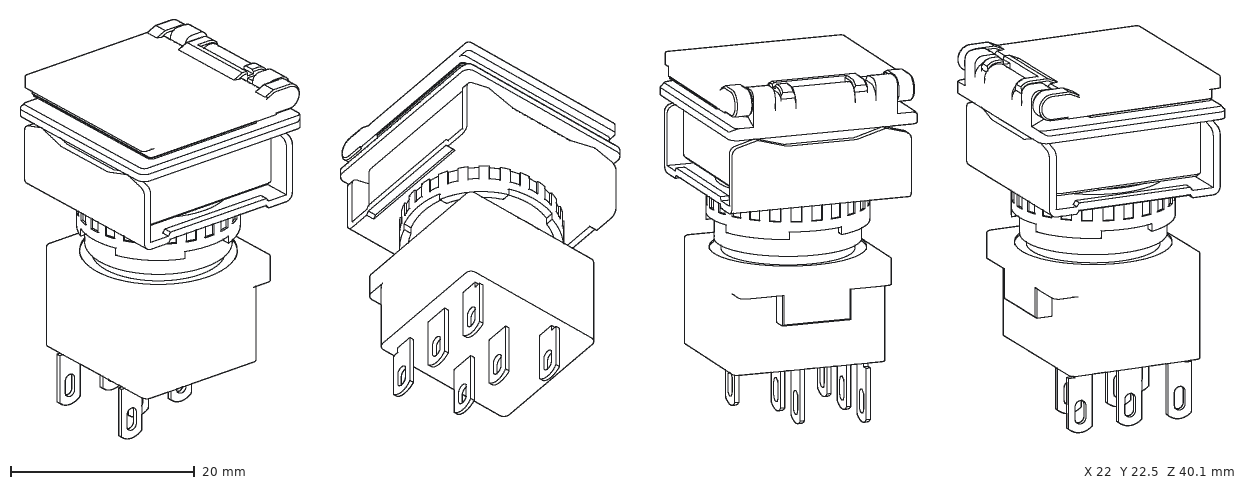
import cadquery as cq
import math


bezel_width = 22.0
bezel_front = 11.0
bezel_rear = 11.5
bezel_corner = 1.0
bezel_flat_corner = 0.4
bezel_side_height = 0.85
bezel_edge_rise = 0.5
bezel_edge_run = 0.45
bezel_height = 2.1
bezel_slope_run = 1.75

hinge_height = 5.33
knuckle_inner = 5.88
knuckle_outer = 8.4
knuckle_front = 8.4
knuckle_radius = 1.0
hinge_bar_height = 4.6
hinge_bar_crest = 9.93
tall_bar_height = 5.0
tall_bar_radius = 1.43

body_width = 18.06
body_corner = 1.03
body_bottom = -6.85
body_edge = 0.3
collar_radius = 8.2
collar_bottom = -7.25
stem_radius = 7.93
barrel_radius = 8.05
barrel_bottom = -14.65
neck_radius = 7.3

block_width = 17.8
block_top = -15.6
block_bottom = -27.7
block_corner = 0.75
block_edge = 0.25
block_step_depth = 2.0
block_step_bottom = -18.63
block_recess_radius = 8.6
block_recess_depth = 0.2
nub_width = 8.0
nub_bottom = -22.1
nub_edge = 0.15

overall_height = 40.1
terminal_tip = hinge_height - overall_height
terminal_width = 2.85
terminal_thickness = 0.52
terminal_tip_rise = 0.6
terminal_tip_thickness = 0.4
terminal_shoulder_depth = 0.75
terminal_shoulder_height = 0.7
eyelet_width = 1.3
eyelet_length = 2.67
eyelet_height = 2.35
terminal_pitch = 6.0
switch_row_x = -6.93
lamp_row_x = 0.0
single_x = 3.82
middle_terminal_y = -1.0
rear_terminal_y = middle_terminal_y + terminal_pitch
front_terminal_y = middle_terminal_y - terminal_pitch
lamp_terminal_y = terminal_pitch / 2

bracket_width = 20.95
bracket_depth = 20.65
bracket_thickness = 0.85
bracket_bottom = -8.67
bracket_bend_radius = 0.9
tab_peak_x = 7.48
tab_peak_z = -0.5
tab_valley_x = 4.07
tab_valley_z = -1.46
tab_shoulder_z = -1.32
tab_corner_radius = 0.9
rib_length = 14.0
rib_width = 1.0
rib_lift = 0.4
rib_end_run = 0.3

nut_radius = 8.95
nut_bottom = -12.53
nut_slot_count = 24
nut_slot_width = 1.2
nut_slot_depth = 0.25
nut_slot_bottom = -10.55
nut_notch_width = 6.1
nut_notch_depth = 0.86

lid_width = 20.95
lid_front = -10.5
lid_top = 4.8
lid_bottom = 2.33
lip_bottom = 3.4
lip_overhang = 1.0
lid_corner = 0.5
lid_edge = 0.2
lid_rear_edge = 8.1
lid_rear_chamfer = 0.5
lid_seat_rear = 5.35
lid_seat_inset = 0.1
ear_radius = (hinge_height - lid_bottom) / 2
ear_center_y = 9.95
ear_center_z = lid_bottom + ear_radius
ramp_top_y = 7.83
ramp_bottom_y = 6.65
pad_half_width = 5.04
arm_inner = 3.45
arm_front = 8.42
arm_rear = 11.08
arm_notch_rear = 9.2
arm_notch_floor = 4.85


def box(x0, x1, y0, y1, z0, z1):
    """Box between the given limits."""
    return cq.Workplane("XY").box(x1 - x0, y1 - y0, z1 - z0, centered=False).translate((x0, y0, z0))


def disc(radius, z0, z1):
    """Cylinder about the Z axis between two heights."""
    return cq.Workplane("XY").workplane(offset=z0).circle(radius).extrude(z1 - z0)


def side_profile(x0, start):
    """Sketch plane square to X at x0, drawn in (Y, Z), with its first point."""
    return cq.Workplane("YZ").workplane(offset=x0).moveTo(*start)


def bezel_outline(rear, inset, corner):
    """Rounded rectangle of the bezel, reaching back to y = rear before it is drawn in by the inset."""
    outline = cq.Sketch().rect(bezel_width - 2 * inset, bezel_front + rear - 2 * inset)
    return outline.vertices().fillet(corner)


def bezel_stage(z0, inset0, corner0, z1, inset1, corner1):
    """Straight-sided stage of the bezel between two insets, running past its rear face."""
    rear = bezel_rear + bezel_edge_run
    stage = cq.Workplane("XY", origin=(0, (rear - bezel_front) / 2, z0))
    return stage.placeSketch(
        bezel_outline(rear, inset0, corner0),
        bezel_outline(rear, inset1, corner1).moved(cq.Location(cq.Vector(0, 0, z1 - z0))),
    ).loft()


def make_bezel():
    """Flange with an upright side, a steep edge except at the rear, and a shallow slope to its flat top."""
    edge_top = bezel_side_height + bezel_edge_rise
    edge_corner = bezel_corner - bezel_edge_run
    flat_inset = bezel_edge_run + bezel_slope_run
    side = bezel_stage(0, 0, bezel_corner, bezel_side_height, 0, bezel_corner)
    edge = bezel_stage(bezel_side_height, 0, bezel_corner, edge_top, bezel_edge_run, edge_corner)
    slope = bezel_stage(edge_top, bezel_edge_run, edge_corner, bezel_height, flat_inset, bezel_flat_corner)
    prism = (
        cq.Workplane("XY", origin=(0, (bezel_rear - bezel_front) / 2, 0))
        .placeSketch(bezel_outline(bezel_rear, 0, bezel_corner))
        .extrude(bezel_height)
    )
    return side.union(edge).union(slope).intersect(prism)


def make_knuckle(x0):
    """Hinge knuckle standing on the rear of the bezel, rounded at both top corners."""
    width = knuckle_outer - knuckle_inner
    knuckle = box(x0, x0 + width, knuckle_front, bezel_rear, 0, hinge_height)
    return knuckle.edges("|X and >Z").fillet(knuckle_radius)


def make_hinge_bar():
    """Low bar between the knuckles, pocketed for the lid arms, with a taller rounded bar between them."""
    base = bezel_side_height
    rear_radius = bezel_rear - hinge_bar_crest
    low = box(-knuckle_inner, knuckle_inner, knuckle_front, bezel_rear, base, hinge_bar_height)
    low = low.edges("|X and >Z and >Y").fillet(rear_radius)
    pocket = box(-pad_half_width, pad_half_width, knuckle_front, arm_rear, bezel_height, hinge_bar_height)
    front_axis_z = tall_bar_height - tall_bar_radius
    rear_axis_z = tall_bar_height - rear_radius
    slant = math.sqrt(0.5)
    front_middle = (hinge_bar_crest - tall_bar_radius * slant, front_axis_z + tall_bar_radius * slant)
    rear_middle = (hinge_bar_crest + rear_radius * slant, rear_axis_z + rear_radius * slant)
    tall = (
        side_profile(-arm_inner, (bezel_rear, base))
        .lineTo(bezel_rear, rear_axis_z)
        .threePointArc(rear_middle, (hinge_bar_crest, tall_bar_height))
        .threePointArc(front_middle, (hinge_bar_crest - tall_bar_radius, front_axis_z))
        .lineTo(hinge_bar_crest - tall_bar_radius, base)
        .close()
        .extrude(2 * arm_inner)
    )
    return low.cut(pocket).union(tall)


def make_body():
    """Square body behind the panel with the round stem, barrel and neck below it."""
    body = box(-body_width / 2, body_width / 2, -body_width / 2, body_width / 2, body_bottom, 0)
    body = body.edges("|Z").fillet(body_corner).faces("<Z").edges().chamfer(body_edge)
    turned = (
        cq.Workplane("XZ")
        .lineTo(collar_radius, 0)
        .lineTo(collar_radius, body_bottom)
        .lineTo(stem_radius, collar_bottom)
        .lineTo(stem_radius, bracket_bottom)
        .lineTo(barrel_radius, bracket_bottom)
        .lineTo(barrel_radius, barrel_bottom)
        .lineTo(neck_radius, barrel_bottom)
        .lineTo(neck_radius, block_step_bottom)
        .lineTo(0, block_step_bottom)
        .close()
        .revolve(360, (0, 0, 0), (0, 1, 0))
    )
    return body.union(turned)


def make_block():
    """Contact block, stepped in at the rear, with a shallow round recess about the neck."""
    half = block_width / 2
    upper = box(-half, half, -half, half, block_step_bottom, block_top)
    upper = upper.edges("|Z").fillet(block_corner).faces(">Z").edges().fillet(block_edge)
    lower = box(-half, half, -half, half - block_step_depth, block_bottom, block_step_bottom)
    lower = lower.edges("|Z").fillet(block_corner)
    nub = box(-nub_width / 2, nub_width / 2, 0, half, nub_bottom, block_step_bottom)
    nub = nub.faces(">Y").edges("not >Z").chamfer(nub_edge)
    recess = disc(block_recess_radius, block_top - block_recess_depth, block_top)
    return upper.cut(recess).union(lower).union(nub)


def make_terminal(x, y, shoulder_side):
    """Solder terminal with an eyelet and thinned tip.

    shoulder_side is the sign of the Y side cut back at the top, or 0 for none.
    """
    half = terminal_width / 2
    blade = (
        side_profile(-terminal_thickness / 2, (-half, block_bottom))
        .lineTo(-half, terminal_tip + terminal_tip_rise)
        .threePointArc((0, terminal_tip), (half, terminal_tip + terminal_tip_rise))
        .lineTo(half, block_bottom)
        .close()
        .extrude(terminal_thickness)
    )
    eyelet = (
        cq.Workplane("YZ")
        .center(0, terminal_tip + eyelet_height)
        .slot2D(eyelet_length, eyelet_width, 90)
        .extrude(terminal_thickness, both=True)
    )
    taper_top = terminal_tip + terminal_tip_rise
    edge_view = (
        cq.Workplane("XZ")
        .moveTo(-terminal_tip_thickness / 2, terminal_tip)
        .lineTo(terminal_tip_thickness / 2, terminal_tip)
        .lineTo(terminal_thickness / 2, taper_top)
        .lineTo(terminal_thickness / 2, block_bottom)
        .lineTo(-terminal_thickness / 2, block_bottom)
        .lineTo(-terminal_thickness / 2, taper_top)
        .close()
        .extrude(terminal_width, both=True)
    )
    blade = blade.cut(eyelet).intersect(edge_view)
    if shoulder_side:
        notch = cq.Workplane("XY").box(
            2 * terminal_thickness, 2 * terminal_shoulder_depth, 2 * terminal_shoulder_height
        )
        blade = blade.cut(notch.translate((0, shoulder_side * half, block_bottom)))
    return blade.translate((x, y, 0))


def make_housing():
    """Bezel, hinge, body, contact block and terminals as one solid."""
    housing = make_bezel().union(make_hinge_bar())
    for knuckle_x in (-knuckle_outer, knuckle_inner):
        housing = housing.union(make_knuckle(knuckle_x))
    housing = housing.union(make_body()).union(make_block())
    terminals = [
        (switch_row_x, rear_terminal_y, 1),
        (switch_row_x, middle_terminal_y, 0),
        (switch_row_x, front_terminal_y, -1),
        (lamp_row_x, lamp_terminal_y, 0),
        (lamp_row_x, -lamp_terminal_y, 0),
        (single_x, front_terminal_y, -1),
    ]
    for x, y, shoulder_side in terminals:
        housing = housing.union(make_terminal(x, y, shoulder_side))
    return housing


def make_bracket():
    """U-shaped clamp: a bored base with two upright tabs and a raised rib along each open edge."""
    half_x = bracket_width / 2
    half_y = bracket_depth / 2
    floor = bracket_bottom + bracket_thickness
    channel = box(-half_x, half_x, -half_y, half_y, bracket_bottom, tab_peak_z)
    channel = channel.edges("|X and <Z").fillet(bracket_bend_radius)
    inner_y = half_y - bracket_thickness
    channel = channel.cut(box(-half_x, half_x, -inner_y, inner_y, floor, 0))

    outline = (
        cq.Workplane("XZ")
        .moveTo(-half_x, bracket_bottom)
        .lineTo(half_x, bracket_bottom)
        .lineTo(half_x, tab_shoulder_z)
        .lineTo(tab_peak_x, tab_peak_z)
        .lineTo(tab_valley_x, tab_valley_z)
        .lineTo(-tab_valley_x, tab_valley_z)
        .lineTo(-tab_peak_x, tab_peak_z)
        .lineTo(-half_x, tab_shoulder_z)
        .close()
        .extrude(bracket_depth, both=True)
    )
    for corner_side in (">X", "<X"):
        outline = outline.faces(corner_side).edges(">Z").fillet(tab_corner_radius)
    bracket = channel.intersect(outline)

    for x0 in (-half_x, half_x - rib_width):
        bracket = bracket.cut(make_rib(x0, bracket_bottom, rib_lift))
        bracket = bracket.union(make_rib(x0, floor, rib_lift))
    return bracket.cut(disc(stem_radius, bracket_bottom, 0))


def make_rib(x0, z0, height):
    """Bar along Y with slanted ends, from z0 up."""
    half = rib_length / 2
    return (
        side_profile(x0, (-half, z0))
        .lineTo(half, z0)
        .lineTo(half - rib_end_run, z0 + height)
        .lineTo(-half + rib_end_run, z0 + height)
        .close()
        .extrude(rib_width)
    )


def make_nut():
    """Ring nut with grip slots around its top and four wrench notches in its lower rim."""
    nut = disc(nut_radius, nut_bottom, bracket_bottom).cut(disc(barrel_radius, nut_bottom, bracket_bottom))
    slot = box(
        -nut_slot_width / 2,
        nut_slot_width / 2,
        nut_radius - nut_slot_depth,
        nut_radius + nut_slot_depth,
        nut_slot_bottom,
        bracket_bottom,
    )
    for index in range(nut_slot_count):
        nut = nut.cut(slot.rotate((0, 0, 0), (0, 0, 1), index * 360 / nut_slot_count))
    for angle in (0, 90):
        notch = box(
            -nut_notch_width / 2,
            nut_notch_width / 2,
            -nut_radius,
            nut_radius,
            nut_bottom,
            nut_bottom + nut_notch_depth,
        )
        nut = nut.cut(notch.rotate((0, 0, 0), (0, 0, 1), angle))
    return nut


def make_lid_plate():
    """Flat lid with a front finger lip, softened upper edges and a seat resting on the bezel."""
    half = lid_width / 2
    lower = box(-half, half, lid_front + lip_overhang, lid_rear_edge, lid_bottom, lip_bottom)
    upper = box(-half, half, lid_front, lid_rear_edge, lip_bottom, lid_top)
    lower = lower.edges("|Z and <Y").fillet(lid_corner)
    upper = upper.edges("|Z and <Y").fillet(lid_corner)
    upper = upper.edges(">Z and >Y").chamfer(lid_rear_chamfer)
    upper = upper.faces(">Z").edges("not >Y").fillet(lid_edge)
    seat_half = half - lid_seat_inset
    seat_front = lid_front + lip_overhang + lid_seat_inset
    seat = box(-seat_half, seat_half, seat_front, lid_seat_rear, bezel_height, lid_bottom)
    seat = seat.edges("|Z and <Y").fillet(lid_corner)
    return lower.union(upper).union(seat)


def make_hinge_section(x0, x1):
    """Rear section of the lid: ramp, flat crest and half-round end, with softened sides."""
    arc_middle_y = ear_center_y + ear_radius
    section = (
        side_profile(x0, (ramp_bottom_y, lid_bottom))
        .lineTo(ramp_bottom_y, lid_top)
        .lineTo(ramp_top_y, hinge_height)
        .lineTo(ear_center_y, hinge_height)
        .threePointArc((arc_middle_y, ear_center_z), (ear_center_y, lid_bottom))
        .close()
        .extrude(x1 - x0)
    )
    crest = cq.selectors.BoxSelector(
        (x0 - lid_edge, ramp_bottom_y + lid_edge, lid_bottom + lid_edge),
        (x1 + lid_edge, arc_middle_y + lid_edge, hinge_height + lid_edge),
    )
    return section.edges("#X").edges(crest).chamfer(lid_edge)


def make_lid():
    """Lid with two outer ears and a middle pad that reaches back in two arms around the tall hinge bar."""
    half = lid_width / 2
    lid = make_lid_plate()
    for x0, x1 in ((-half, -knuckle_outer), (knuckle_outer, half)):
        lid = lid.union(make_hinge_section(x0, x1))

    pad = make_hinge_section(-pad_half_width, pad_half_width)
    reach = bezel_rear + ear_radius
    pad = pad.cut(box(-arm_inner, arm_inner, arm_front, reach, 0, hinge_height))
    for side in (-1, 1):
        inner_edge = cq.selectors.BoxSelector(
            (side * arm_inner - lid_edge, arm_front + lid_edge, ear_center_z),
            (side * arm_inner + lid_edge, reach, hinge_height + lid_edge),
        )
        pad = pad.edges(inner_edge).edges("not |Z").chamfer(lid_edge)
    pad = pad.cut(box(arm_inner, pad_half_width, arm_front, arm_notch_rear, arm_notch_floor, hinge_height))
    pad = pad.cut(box(-pad_half_width, pad_half_width, arm_rear, reach, 0, hinge_height))
    return lid.union(pad)


housing = make_housing()
bracket = make_bracket()
nut = make_nut()
lid = make_lid()
result = cq.Compound.makeCompound([housing.val(), bracket.val(), nut.val(), lid.val()])